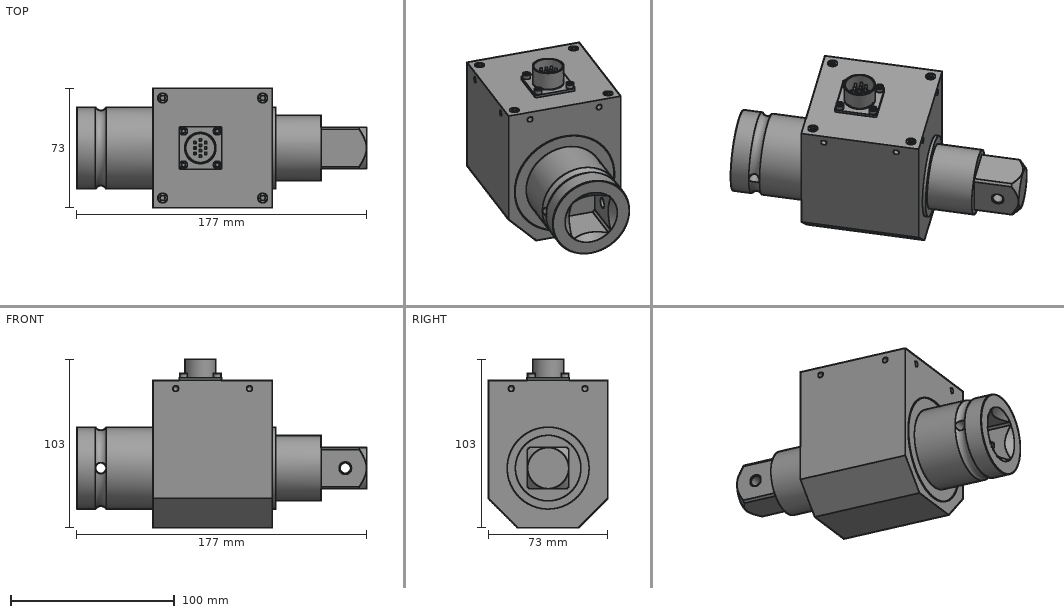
import cadquery as cq
import math


HOUSING_SIZE = 73.0
HOUSING_TOP = 53.5
HOUSING_BOTTOM = -36.5
HOUSING_CHAMFER = 18.0
HOUSING_MID_X = HOUSING_SIZE / 2
COVER_GAP_DIAMETER = 65.0
COVER_GAP_WIDTH = 0.25
COVER_GAP_DEPTH = 0.3

LID_SCREW_INSET = 6.0
LID_SCREW_HEAD_DIAMETER = 5.74
LID_SCREW_BORE_DIAMETER = 5.84
LID_SCREW_HEAD_DEPTH = 3.0
LID_SCREW_HEX = 3.0
LID_SCREW_HEX_DEPTH = 1.5

WALL_HOLE_DIAMETER = 3.42
WALL_HOLE_SPACING = 45.0
WALL_HOLE_BELOW_TOP = 5.0
WALL_HOLE_DEPTH = 6.0
DRILL_POINT_ANGLE = 118.0

SQUARE_SIZE = 25.4
SQUARE_CORNER_DIAMETER = 34.0
CROSS_HOLE_DIAMETER = 6.5

SOCKET_LENGTH = 46.5
SOCKET_DIAMETER = 50.0
SOCKET_DEPTH = 28.0
MOUTH_CHAMFER = 0.3
SOCKET_LEFT = -SOCKET_LENGTH
GROOVE_FROM_MOUTH = 14.8
GROOVE_WIDTH = 6.7
GROOVE_DEPTH = 1.8

COLLAR_DIAMETER = 50.0
COLLAR_LENGTH = 2.0
SHAFT_DIAMETER = 40.0
SHAFT_LENGTH = 27.7
PLUG_LENGTH = 27.8
PLUG_END_DIAMETER = 25.0
PLUG_HOLE_FROM_SHOULDER = 14.7
PLUG_HOLE_RIM_DIAMETER = 7.6
COLLAR_END = HOUSING_SIZE + COLLAR_LENGTH
SHOULDER = COLLAR_END + SHAFT_LENGTH

CONNECTOR_X = 29.0
FLANGE_SIZE = 26.0
FLANGE_THICKNESS = 1.6
FLANGE_CORNER_RADIUS = 1.2
SHELL_HEIGHT = 13.0
SHELL_DIAMETER = 19.05
SHELL_BORE_DIAMETER = 17.78
FLANGE_SCREW_SPACING = 20.6
FLANGE_SCREW_HEAD_DIAMETER = 4.65
FLANGE_SCREW_HEAD_HEIGHT = 2.7
FLANGE_SCREW_HEX = 2.38
FLANGE_SCREW_HEX_DEPTH = 1.2
FLANGE_SCREW_HEX_TURN = 30.0
PIN_DIAMETER = 1.52
PIN_HEIGHT = 8.9
PIN_PITCH = 3.3
PIN_COLUMN_COUNTS = (3, 4, 3)
FLANGE_TOP = HOUSING_TOP + FLANGE_THICKNESS


def x_cylinder(diameter, start, length):
    """Cylinder on the shaft axis, running in +X from `start`."""
    return cq.Workplane("YZ", origin=(start, 0, 0)).circle(diameter / 2).extrude(length)


def z_cylinder(diameter, center, length):
    """Upright cylinder whose base is centred on `center`."""
    return cq.Workplane("XY", origin=center).circle(diameter / 2).extrude(length)


def hex_recess(across_flats, top_center, depth, turn=0):
    """Hexagon socket cutter going down from `top_center`, turned by `turn` degrees about Z."""
    across_corners = across_flats / math.cos(math.pi / 6)
    hexagon = cq.Workplane("XY").polygon(6, across_corners).extrude(-depth)
    return hexagon.rotate((0, 0, 0), (0, 0, 1), turn).translate(top_center)


def revolve_about_shaft(profile):
    """Revolve an XY profile about the shaft axis."""
    return profile.close().revolve(360, (0, 0, 0), (1, 0, 0))


def square_bar(start, length):
    """Square drive bar with its corners turned down."""
    square = cq.Workplane("YZ", origin=(start, 0, 0)).rect(SQUARE_SIZE, SQUARE_SIZE).extrude(length)
    return square.intersect(x_cylinder(SQUARE_CORNER_DIAMETER, start, length))


def make_housing():
    """Box with chamfered lower edges and a shallow ring gap around the socket-side cover."""
    height = HOUSING_TOP - HOUSING_BOTTOM
    housing = (
        cq.Workplane("XY", origin=(HOUSING_MID_X, 0, HOUSING_BOTTOM))
        .rect(HOUSING_SIZE, HOUSING_SIZE)
        .extrude(height)
        .edges("|X and <Z")
        .chamfer(HOUSING_CHAMFER)
    )
    bore = x_cylinder(COVER_GAP_DIAMETER, 0, COVER_GAP_DEPTH)
    cover = x_cylinder(COVER_GAP_DIAMETER - 2 * COVER_GAP_WIDTH, 0, COVER_GAP_DEPTH)
    return housing.cut(bore.cut(cover))


def wall_hole_cutter():
    """Blind hole with a drill point, entering the -Y wall at the origin."""
    radius = WALL_HOLE_DIAMETER / 2
    point_length = radius / math.tan(math.radians(DRILL_POINT_ANGLE / 2))
    return (
        cq.Workplane("XY")
        .polyline([(0, 0), (radius, 0), (radius, WALL_HOLE_DEPTH), (0, WALL_HOLE_DEPTH + point_length)])
        .close()
        .revolve(360, (0, 0, 0), (0, 1, 0))
    )


def drill_walls(housing):
    """Two holes in each of the four side walls."""
    for wall_angle in range(0, 360, 90):
        for side in (-1, 1):
            hole = (
                wall_hole_cutter()
                .translate((side * WALL_HOLE_SPACING / 2, -HOUSING_SIZE / 2, 0))
                .rotate((0, 0, 0), (0, 0, 1), wall_angle)
                .translate((HOUSING_MID_X, 0, HOUSING_TOP - WALL_HOLE_BELOW_TOP))
            )
            housing = housing.cut(hole)
    return housing


def add_lid_screws(housing):
    """Flush socket-head screws in the four corners of the lid."""
    offset = HOUSING_SIZE / 2 - LID_SCREW_INSET
    for x_side in (-1, 1):
        for y_side in (-1, 1):
            x = HOUSING_MID_X + x_side * offset
            y = y_side * offset
            gap_base = (x, y, HOUSING_TOP - LID_SCREW_HEAD_DEPTH)
            bore = z_cylinder(LID_SCREW_BORE_DIAMETER, gap_base, LID_SCREW_HEAD_DEPTH)
            head = z_cylinder(LID_SCREW_HEAD_DIAMETER, gap_base, LID_SCREW_HEAD_DEPTH)
            housing = housing.cut(bore.cut(head))
            housing = housing.cut(hex_recess(LID_SCREW_HEX, (x, y, HOUSING_TOP), LID_SCREW_HEX_DEPTH))
    return housing


def cross_hole(x):
    """Retaining-pin hole right through along Y."""
    return (
        cq.Workplane("XZ", origin=(x, 0, 0))
        .circle(CROSS_HOLE_DIAMETER / 2)
        .extrude(SOCKET_DIAMETER, both=True)
    )


def make_socket():
    """Square socket with a conical lead-in, a rounded retaining groove and a cross hole."""
    socket = x_cylinder(SOCKET_DIAMETER, SOCKET_LEFT, SOCKET_LENGTH).faces("<X").chamfer(MOUTH_CHAMFER)
    groove_x = SOCKET_LEFT + GROOVE_FROM_MOUTH
    radius = SOCKET_DIAMETER / 2
    groove = revolve_about_shaft(
        cq.Workplane("XY")
        .moveTo(groove_x - GROOVE_WIDTH / 2, radius)
        .threePointArc((groove_x, radius - GROOVE_DEPTH), (groove_x + GROOVE_WIDTH / 2, radius))
    )
    mouth_radius = SQUARE_CORNER_DIAMETER / 2
    lead_in = revolve_about_shaft(
        cq.Workplane("XY")
        .moveTo(SOCKET_LEFT, 0)
        .lineTo(SOCKET_LEFT, mouth_radius)
        .lineTo(SOCKET_LEFT + mouth_radius, 0)
    )
    square = square_bar(SOCKET_LEFT, SOCKET_DEPTH)
    return socket.cut(groove).cut(square).cut(lead_in).cut(cross_hole(groove_x))


def make_plug():
    """Collar, round shaft and square plug with a turned end chamfer."""
    collar = x_cylinder(COLLAR_DIAMETER, HOUSING_SIZE, COLLAR_LENGTH)
    shaft = x_cylinder(SHAFT_DIAMETER, COLLAR_END, SHAFT_LENGTH)
    end_chamfer = (SQUARE_CORNER_DIAMETER - PLUG_END_DIAMETER) / 2
    turned_end = x_cylinder(SQUARE_CORNER_DIAMETER, SHOULDER, PLUG_LENGTH).faces(">X").chamfer(end_chamfer)
    plug = square_bar(SHOULDER, PLUG_LENGTH).intersect(turned_end)
    hole_x = SHOULDER + PLUG_HOLE_FROM_SHOULDER
    plug = plug.cut(cross_hole(hole_x))
    countersink_depth = (PLUG_HOLE_RIM_DIAMETER - CROSS_HOLE_DIAMETER) / 2
    for side in (-1, 1):
        countersink = cq.Solid.makeCone(
            PLUG_HOLE_RIM_DIAMETER / 2,
            CROSS_HOLE_DIAMETER / 2,
            countersink_depth,
            cq.Vector(hole_x, side * SQUARE_SIZE / 2, 0),
            cq.Vector(0, -side, 0),
        )
        plug = plug.cut(cq.Workplane(obj=countersink))
    return collar.union(shaft).union(plug)


def make_pin(x, y):
    """Contact pin with a rounded tip."""
    straight_height = PIN_HEIGHT - PIN_DIAMETER / 2
    pin = z_cylinder(PIN_DIAMETER, (x, y, FLANGE_TOP), straight_height)
    tip = cq.Workplane("XY", origin=(x, y, FLANGE_TOP + straight_height)).sphere(PIN_DIAMETER / 2)
    return pin.union(tip)


def make_connector():
    """Screwed-down flange carrying a hollow round shell and its contact pins."""
    connector = (
        cq.Workplane("XY", origin=(CONNECTOR_X, 0, HOUSING_TOP))
        .rect(FLANGE_SIZE, FLANGE_SIZE)
        .extrude(FLANGE_THICKNESS)
        .edges("|Z")
        .fillet(FLANGE_CORNER_RADIUS)
    )
    shell = (
        cq.Workplane("XY", origin=(CONNECTOR_X, 0, FLANGE_TOP))
        .circle(SHELL_DIAMETER / 2)
        .circle(SHELL_BORE_DIAMETER / 2)
        .extrude(SHELL_HEIGHT - FLANGE_THICKNESS)
    )
    connector = connector.union(shell)
    for x_side in (-1, 1):
        for y_side in (-1, 1):
            x = CONNECTOR_X + x_side * FLANGE_SCREW_SPACING / 2
            y = y_side * FLANGE_SCREW_SPACING / 2
            head = z_cylinder(FLANGE_SCREW_HEAD_DIAMETER, (x, y, FLANGE_TOP), FLANGE_SCREW_HEAD_HEIGHT)
            head_top = (x, y, FLANGE_TOP + FLANGE_SCREW_HEAD_HEIGHT)
            recess = hex_recess(FLANGE_SCREW_HEX, head_top, FLANGE_SCREW_HEX_DEPTH, FLANGE_SCREW_HEX_TURN)
            connector = connector.union(head.cut(recess))
    middle_column = (len(PIN_COLUMN_COUNTS) - 1) / 2
    for column, pin_count in enumerate(PIN_COLUMN_COUNTS):
        x = CONNECTOR_X + (column - middle_column) * PIN_PITCH
        for row in range(pin_count):
            y = (row - (pin_count - 1) / 2) * PIN_PITCH
            connector = connector.union(make_pin(x, y))
    return connector


housing = add_lid_screws(drill_walls(make_housing()))
result = housing.union(make_socket()).union(make_plug()).union(make_connector())